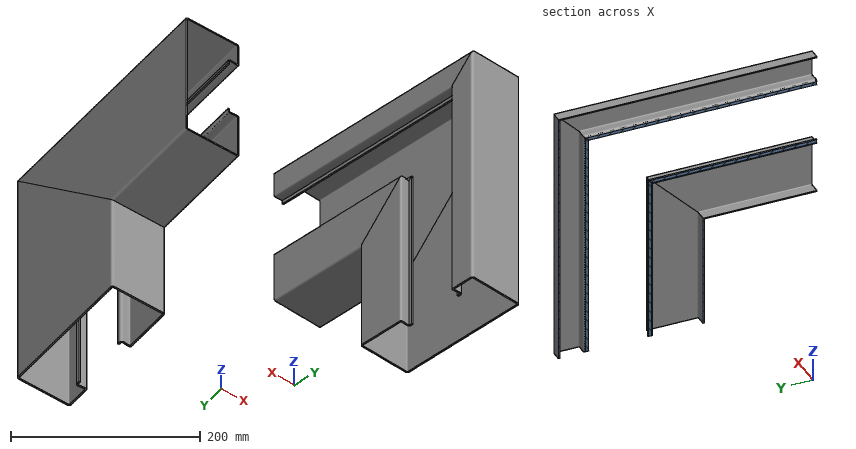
import cadquery as cq

leg_length = 300.0
leg_width = 169.8
depth = 70.0

sheet = 1.95
bend_outer = 3.0
bend_inner = bend_outer - sheet

outer_wall = 31.8
inner_wall = 61.8
lip_depth = 14.0
lip_flat = 5.0
lip_lean = 0.5
hook_length = 6.3
hook_bend = 3.0
root_bend = sheet

half_depth = depth / 2
corner = leg_length / 2

ROOT = 0
HOOK_BACK = 5
ROOT_INSIDE = 7


def lip_points(root, slot_direction):
    """Section points of one lip, from its root at the slot, round its hook, back to the wall."""
    lip_end = half_depth - lip_depth
    flat_end = half_depth - lip_flat
    leaning = root - slot_direction * lip_lean
    thickness = slot_direction * sheet
    tip = leaning - thickness + slot_direction * hook_length
    return [
        (half_depth, root),
        (flat_end, root),
        (lip_end + sheet, leaning),
        (lip_end + sheet, tip),
        (lip_end, tip),
        (lip_end, leaning - thickness),
        (flat_end, root - thickness),
        (half_depth - sheet, root - thickness),
    ]


def box_corners(inset):
    """Section corners of the closed box, moved inwards by the inset."""
    side = half_depth - inset
    top = corner - inset
    bottom = corner - leg_width + inset
    return [(side, bottom), (-side, bottom), (-side, top), (side, top)]


def round_folds(body, bend_points, radius):
    """Fillet the lengthwise edges that pass through the given section points."""
    edges = []
    for x, z in bend_points:
        edges += body.edges("|Y").edges(cq.NearestToPointSelector((x, 0, z))).vals()
    return body.newObject(edges).fillet(radius)


def channel():
    """Straight channel along Y with a folded C section, as long as one leg."""
    outside_box = box_corners(0)
    inside_box = box_corners(sheet)
    top_lip = lip_points(corner - outer_wall, -1)
    low_lip = lip_points(corner - leg_width + inner_wall, 1)
    outline = outside_box + top_lip + inside_box[::-1] + low_lip[::-1]
    body = cq.Workplane("XZ", origin=(0, corner, 0)).polyline(outline).close().extrude(leg_length)

    body = round_folds(body, outside_box, bend_outer)
    body = round_folds(body, inside_box, bend_inner)
    for lip in (top_lip, low_lip):
        body = round_folds(body, [lip[ROOT]], root_bend)
        body = round_folds(body, [lip[ROOT_INSIDE]], bend_inner)
        body = round_folds(body, [lip[HOOK_BACK]], hook_bend)
    return body


def horizontal_leg():
    """Leg along Y, cut at 45 degrees on the plane Y = Z."""
    cutter = (
        cq.Workplane("YZ", origin=(-depth, 0, 0))
        .polyline([(-leg_length, -leg_length), (leg_length, leg_length), (leg_length, -leg_length)])
        .close()
        .extrude(2 * depth)
    )
    return channel().cut(cutter)


def vertical_leg():
    """Leg along Z, the mirror image of the horizontal leg in the mitre plane."""
    return horizontal_leg().mirror(cq.Vector(0, 1, -1))


result = cq.Compound.makeCompound([horizontal_leg().val(), vertical_leg().val()])